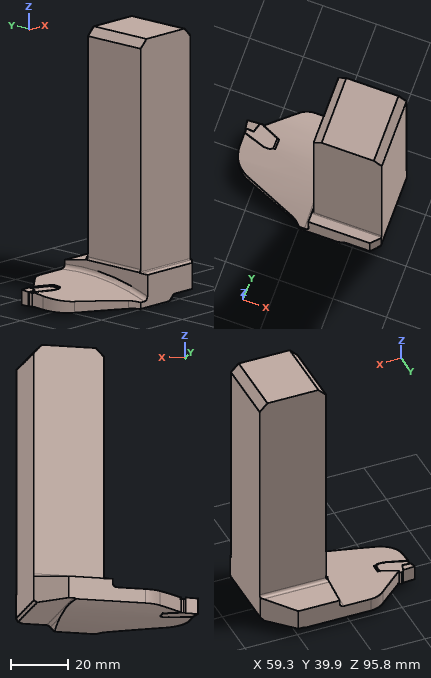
import cadquery as cq
import math

LENGTH = 59.3
WIDTH = 39.85
HEIGHT = 95.8
MARGIN = 4.8

SHANK_SIDE = 25.4
SHANK_FRONT = LENGTH - SHANK_SIDE
SHANK_NEAR = 3.8
SHANK_FAR = SHANK_NEAR + SHANK_SIDE
SHANK_CHAMFER = 3.0
FOOT_RADIUS = 1.2
NEAR_FOOT_RADIUS = 0.4

BLOCK_FRONT = 33.3
BLOCK_TOP = 11.7
SLOPE_START = SHANK_FAR + FOOT_RADIUS
SLOPE_END_HEIGHT = 10.0
NEAR_CORNER_CHAMFER = 3.1
FAR_CORNER_CHAMFER = 10.2
RELIEF_START = 44.6
RELIEF_HEIGHT = 2.2
RELIEF_EDGE_CHAMFER = 1.0
RELIEF_RAMP_RADIUS = 1.9

CREST_Y = 30.6
BLADE_TOP = 7.5
BLADE_TOP_RADIUS = 94.8
BLADE_UNDERSIDE = 2.1
BLADE_UNDERSIDE_RADIUS = CREST_Y**2 / (2 * BLADE_UNDERSIDE)
BLADE_ROOT_RADIUS = 1.5

BLADE_FRONT = 0.7
FRONT_EDGE_FAR = 24.9
POCKET_EXIT = (6.3, 29.4)
FAR_SHOULDER_X = 18.4
FAR_SHOULDER_RADIUS = 8.6
NEAR_NOSE_Y = 12.8
NEAR_NOSE_RADIUS = 10.0
NEAR_SWEEP_END = (26.2, 2.6)
NEAR_SHOULDER_X = 29.8

LEDGE_OUTLINE = [(12.1, 22.6), (12.8, 22.6), (12.9, 26.2), (12.2, 26.5)]
INSERT_BOTTOM = 1.9
INSERT_SEAT_TOP = 6.9
TIP_TOP_FAR = 7.6
TIP_TOP_NEAR = 7.1
TIP_OUTLINE = [(0.0, 29.1), (0.4, 26.2), (3.5, 26.1), (4.6, 29.4)]
SEAT_OUTLINE = [
    (0.7, 26.2),
    (0.7, 24.6),
    (8.8, 21.9),
    (11.1, 21.9),
    (12.1, 22.6),
    (12.2, 26.5),
    (6.4, 29.1),
    (5.4, 29.8),
    (4.6, 29.4),
    (3.5, 26.1),
]


def cylinder_height(y, crest, radius):
    """Height at y of a cylinder along X whose highest line is at CREST_Y."""
    return crest - radius + math.sqrt(radius**2 - (y - CREST_Y) ** 2)


def curve_points(crest, radius):
    """Near end, crest and far end of a blade face's cross-section arc."""
    ends = (-MARGIN, WIDTH + MARGIN)
    near, far = [(y, cylinder_height(y, crest, radius)) for y in ends]
    return near, (CREST_Y, crest), far


def plan_prism(points, bottom, top):
    return cq.Workplane("XY").workplane(offset=bottom).polyline(points).close().extrude(top - bottom)


def base_outline(height):
    """Prism on the plan shape of blade and block, with the two large blade corners rounded."""
    prism = (
        cq.Workplane("XY")
        .moveTo(BLADE_FRONT, FRONT_EDGE_FAR)
        .lineTo(BLADE_FRONT, NEAR_NOSE_Y)
        .lineTo(*NEAR_SWEEP_END)
        .tangentArcPoint((NEAR_SHOULDER_X, 0), relative=False)
        .lineTo(LENGTH - NEAR_CORNER_CHAMFER, 0)
        .lineTo(LENGTH, NEAR_CORNER_CHAMFER)
        .lineTo(LENGTH, WIDTH - FAR_CORNER_CHAMFER)
        .lineTo(LENGTH - FAR_CORNER_CHAMFER, WIDTH)
        .lineTo(FAR_SHOULDER_X, WIDTH)
        .lineTo(*POCKET_EXIT)
        .close()
        .extrude(height)
    )
    near_nose = cq.NearestToPointSelector((BLADE_FRONT, NEAR_NOSE_Y, height / 2))
    far_shoulder = cq.NearestToPointSelector((FAR_SHOULDER_X, WIDTH, height / 2))
    prism = prism.edges("|Z").edges(near_nose).fillet(NEAR_NOSE_RADIUS)
    return prism.edges("|Z").edges(far_shoulder).fillet(FAR_SHOULDER_RADIUS)


def base_section():
    """Cross-section along X: curved underside, flat top and sloping far shoulder."""
    near, crest, far = curve_points(BLADE_UNDERSIDE, BLADE_UNDERSIDE_RADIUS)
    fall = (BLOCK_TOP - SLOPE_END_HEIGHT) / (WIDTH - SLOPE_START)
    far_height = SLOPE_END_HEIGHT - fall * MARGIN
    return (
        cq.Workplane("YZ")
        .moveTo(*near)
        .threePointArc(crest, far)
        .lineTo(far[0], far_height)
        .lineTo(SLOPE_START, BLOCK_TOP)
        .lineTo(near[0], BLOCK_TOP)
        .close()
        .extrude(LENGTH)
    )


def space_above_blade():
    """Space in front of the block, with a rounded edge that leaves the root fillet."""
    near, crest, far = curve_points(BLADE_TOP, BLADE_TOP_RADIUS)
    ceiling = BLOCK_TOP + MARGIN
    space = (
        cq.Workplane("YZ")
        .moveTo(*near)
        .threePointArc(crest, far)
        .lineTo(far[0], ceiling)
        .lineTo(near[0], ceiling)
        .close()
        .extrude(BLOCK_FRONT)
    )
    root_edge = cq.NearestToPointSelector((BLOCK_FRONT, *crest))
    return space.faces(">X").edges(root_edge).fillet(BLADE_ROOT_RADIUS)


def rear_relief():
    """Raised underside at the back, entered by a 45 degree ramp."""
    relief = (
        cq.Workplane("XZ")
        .polyline([
            (RELIEF_START - MARGIN, -MARGIN),
            (RELIEF_START + RELIEF_HEIGHT, RELIEF_HEIGHT),
            (LENGTH - RELIEF_EDGE_CHAMFER, RELIEF_HEIGHT),
            (LENGTH, RELIEF_HEIGHT + RELIEF_EDGE_CHAMFER),
            (LENGTH + MARGIN, RELIEF_HEIGHT + RELIEF_EDGE_CHAMFER),
            (LENGTH + MARGIN, -MARGIN),
        ])
        .close()
        .extrude(-WIDTH)
    )
    ramp_end = cq.NearestToPointSelector((RELIEF_START + RELIEF_HEIGHT, WIDTH / 2, RELIEF_HEIGHT))
    return relief.edges("|Y").edges(ramp_end).fillet(RELIEF_RAMP_RADIUS)


def shank():
    bar = (
        cq.Workplane("XY")
        .box(SHANK_SIDE, SHANK_SIDE, HEIGHT - BLOCK_TOP, centered=False)
        .translate((SHANK_FRONT, SHANK_NEAR, BLOCK_TOP))
    )
    return bar.faces(">Z").edges("|Y").chamfer(SHANK_CHAMFER)


def foot_fillet(plane, corner, direction, radius):
    """Concave fillet profile at a shank face; direction is the side it spreads to."""
    bend = radius * (1 - math.sqrt(0.5))
    return (
        cq.Workplane(plane)
        .moveTo(corner, BLOCK_TOP)
        .lineTo(corner, BLOCK_TOP + radius)
        .threePointArc(
            (corner + direction * bend, BLOCK_TOP + bend),
            (corner + direction * radius, BLOCK_TOP),
        )
        .close()
    )


def shank_foot():
    """Fillets on three sides of the shank, ending at the block's front face."""
    front = foot_fillet("XZ", SHANK_FRONT, -1, FOOT_RADIUS).extrude(-SHANK_SIDE)
    front = front.translate((0, SHANK_NEAR, 0))
    far = foot_fillet("YZ", SHANK_FAR, 1, FOOT_RADIUS).extrude(LENGTH - BLOCK_FRONT)
    near = foot_fillet("YZ", SHANK_NEAR, -1, NEAR_FOOT_RADIUS).extrude(LENGTH - BLOCK_FRONT)
    sides = far.union(near).translate((BLOCK_FRONT, 0, 0))
    front_limit = cq.Workplane("XY").box(BLOCK_FRONT, WIDTH, HEIGHT, centered=False)
    return front.union(sides).intersect(base_outline(HEIGHT)).cut(front_limit)


def insert_pocket():
    """Through pocket that follows the whole insert outline, stepped back above its rear end."""
    ledge = plan_prism(LEDGE_OUTLINE, INSERT_SEAT_TOP, BLOCK_TOP)
    seat = plan_prism(SEAT_OUTLINE, -MARGIN, BLOCK_TOP)
    return seat.union(plan_prism(TIP_OUTLINE, -MARGIN, BLOCK_TOP)).union(ledge)


def make_holder():
    base = base_outline(BLOCK_TOP).intersect(base_section())
    base = base.cut(space_above_blade()).cut(rear_relief())
    return base.cut(insert_pocket()).union(shank()).union(shank_foot())


def make_insert():
    """Insert with a flat seat and a raised cutting tip that falls away from its edge."""
    seat = plan_prism(SEAT_OUTLINE, INSERT_BOTTOM, INSERT_SEAT_TOP)
    far_y = TIP_OUTLINE[-1][1]
    near_y = TIP_OUTLINE[2][1]
    tip_section = (
        cq.Workplane("YZ")
        .polyline([
            (near_y, INSERT_BOTTOM),
            (far_y, INSERT_BOTTOM),
            (far_y, TIP_TOP_FAR),
            (near_y, TIP_TOP_NEAR),
        ])
        .close()
        .extrude(LENGTH)
    )
    tip = plan_prism(TIP_OUTLINE, INSERT_BOTTOM, BLOCK_TOP).intersect(tip_section)
    return seat.union(tip)


holder = make_holder()
insert = make_insert()
result = cq.Compound.makeCompound([*holder.solids().vals(), *insert.solids().vals()])